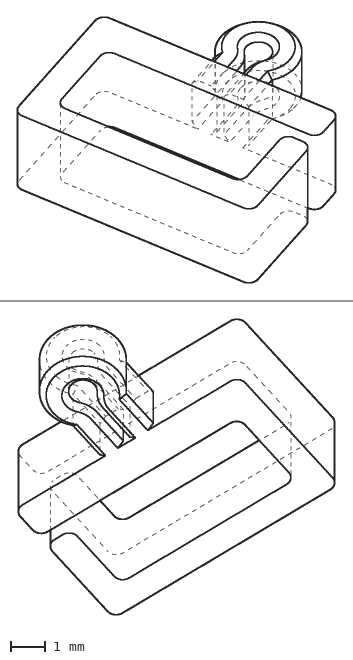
import cadquery as cq
import math

frame_width = 8.0
frame_depth = 4.8
frame_height = 2.9
wall = 0.9
back_wall = 1.2
gap = 0.34
corner_radius = 0.3

total_depth = 8.15
clip_height = 1.9
ring_radius = 1.25
hole_radius = 0.41
leg_span = 1.9
slot_width = 0.23
neck_radius = 0.9
clip_chamfer = 0.195
clip_root = 0.41


def make_frame():
    """C-shaped frame whose right wall stops short of the back wall."""
    cavity_back = frame_depth - back_wall
    cavity_right = frame_width - wall
    wall_tip = cavity_back - gap
    outline = [
        (0, 0),
        (frame_width, 0),
        (frame_width, wall_tip),
        (cavity_right, wall_tip),
        (cavity_right, wall),
        (wall, wall),
        (wall, cavity_back),
        (frame_width, cavity_back),
        (frame_width, frame_depth),
        (0, frame_depth),
    ]
    body = cq.Workplane("XY").polyline(outline).close().extrude(frame_height)
    return body.edges("|Z").fillet(corner_radius)


def make_clip():
    """Split ring on two legs, chamfered along its top and bottom edges."""
    ring_y = total_depth - ring_radius
    root_y = frame_depth - clip_root - ring_y
    half_span = leg_span / 2
    half_slot = slot_width / 2
    shoulder_y = -math.sqrt(ring_radius**2 - half_span**2)

    neck_x = half_slot + neck_radius
    center_distance = hole_radius + neck_radius
    neck_y = -math.sqrt(center_distance**2 - neck_x**2)
    tangent_x = neck_x * hole_radius / center_distance
    tangent_y = neck_y * hole_radius / center_distance
    neck_angle = math.atan2(-neck_y, neck_x) / 2
    neck_mid_x = neck_x - neck_radius * math.cos(neck_angle)
    neck_mid_y = neck_y + neck_radius * math.sin(neck_angle)

    body = (
        cq.Workplane("XY", origin=(frame_width / 2, ring_y, 0))
        .moveTo(-half_span, root_y)
        .lineTo(-half_span, shoulder_y)
        .threePointArc((0, ring_radius), (half_span, shoulder_y))
        .lineTo(half_span, root_y)
        .lineTo(half_slot, root_y)
        .lineTo(half_slot, neck_y)
        .threePointArc((neck_mid_x, neck_mid_y), (tangent_x, tangent_y))
        .threePointArc((0, hole_radius), (-tangent_x, tangent_y))
        .threePointArc((-neck_mid_x, neck_mid_y), (-half_slot, neck_y))
        .lineTo(-half_slot, root_y)
        .close()
        .extrude(clip_height)
    )
    return body.faces("<Z or >Z").edges().chamfer(clip_chamfer)


result = make_frame().union(make_clip())